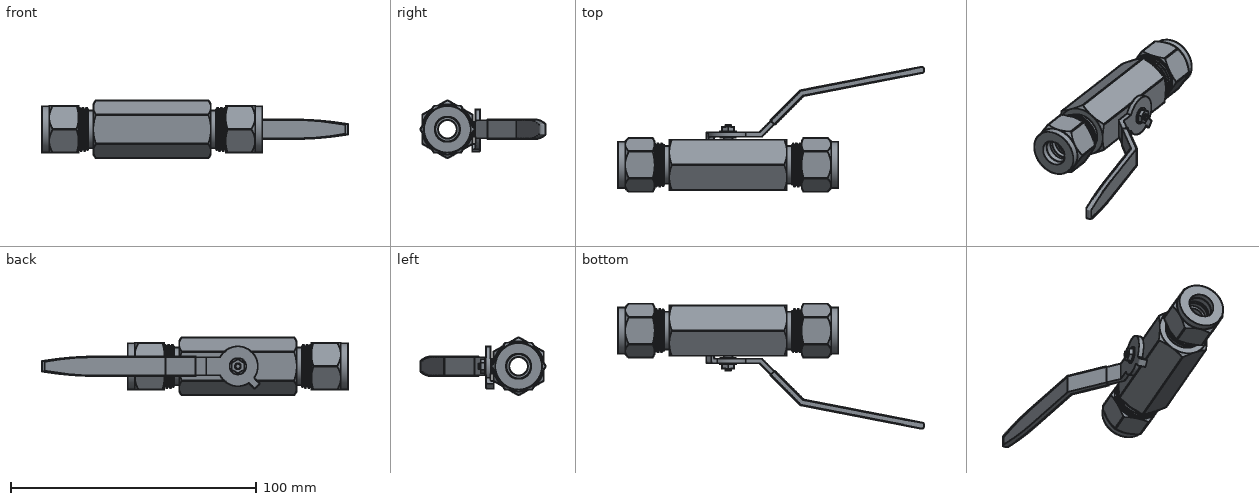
import cadquery as cq
import math

HEX_SIDES = 6
BODY_LENGTH = 48.0
BODY_FLATS = 20.6
BODY_CORNER_DIAMETER = 23.6
BODY_CHAMFER = 1.0
BODY_TURN = 90
NECK_LENGTH = 2.0
NECK_DIAMETER = 15.5
THREAD_CORE_DIAMETER = 16.0
THREAD_DIAMETER = 17.8
THREAD_PITCH = 1.5
THREAD_BASE_WIDTH = 1.4
THREAD_CREST_WIDTH = 0.2
THREAD_OVERLAP = 0.1
THREAD_LEAD_IN = 0.8
BODY_END_TO_NUT_FACE = 5.4
MOUTH_DIAMETER = 10.1
MOUTH_DEPTH = 1.2
SOCKET_DIAMETER = 9.9
SOCKET_DEPTH = 3.4
BORE_DIAMETER = 7.5

OVERALL_LENGTH = 90.0
NUT_FLATS = 19.2
NUT_CORNER_DIAMETER = 22.0
NUT_HEX_LENGTH = 12.0
NUT_TURN = 0
NUT_OUTER_CHAMFER = 1.4
NUT_INNER_CHAMFER = 0.8
COLLAR_DIAMETER = 19.0
COLLAR_LENGTH = 3.0
ENTRY_DIAMETER = 10.4
ENTRY_DEPTH = 2.6

LEVER_BOTTOM = 11.4
LEVER_THICKNESS = 2.0
LEVER_WIDTH = 7.5
DISC_DIAMETER = 16.2
FIRST_BEND_X = 13.2
SECOND_BEND_X = 30.1
TIP_X = 80.0
RISE_ANGLE = math.radians(45)
GRIP_ANGLE = math.radians(11)

TAB_REACH = 11.4
TAB_WIDTH = 3.0
TAB_THICKNESS = 1.5
TAB_BOTTOM = 10.1
TAB_INNER_RADIUS = 0.8
TAB_OUTER_RADIUS = 0.9
TAB_ANGLE = 226

GRIP_WALL = 0.31
GRIP_START_X = 18.1
TAPER_START_X = 57.5
TIP_WIDTH = 4.2
TIP_RADIUS = 1.1
TIP_WALL = 1.2
GRIP_EDGE_RADIUS = 0.2
GRIP_CUT_SIZE = 25.0
OUTLINE_HEIGHT = 62.5

STEM_DIAMETER = 3.8
STEM_SOCKET_DEPTH = 2.5
STUD_DIAMETER = 2.5
STUD_TOP = 16.4
STUD_CHAMFER = 0.2
WASHER_THICKNESS = 0.4
UPPER_WASHER_DIAMETER = 6.8
LOWER_WASHER_DIAMETER = 6.2
STEM_NUT_FLATS = 5.0
STEM_NUT_TOP = 15.5

BODY_END_X = BODY_LENGTH / 2
NUT_FACE_X = OVERALL_LENGTH / 2
NUT_HEX_OUTER_X = NUT_FACE_X - COLLAR_LENGTH
NUT_HEX_INNER_X = NUT_HEX_OUTER_X - NUT_HEX_LENGTH
THREAD_START_X = BODY_END_X + NECK_LENGTH
FITTING_END_X = NUT_FACE_X - BODY_END_TO_NUT_FACE
LEVER_TOP = LEVER_BOTTOM + LEVER_THICKNESS
LEVER_MID = LEVER_BOTTOM + LEVER_THICKNESS / 2
SECOND_BEND_Y = LEVER_MID + (SECOND_BEND_X - FIRST_BEND_X) * math.tan(RISE_ANGLE)
GRIP_THICKNESS = LEVER_THICKNESS + 2 * GRIP_WALL
GRIP_WIDTH = LEVER_WIDTH + 2 * GRIP_WALL
STEM_TOP = LEVER_BOTTOM - WASHER_THICKNESS
STEM_BOTTOM = BODY_FLATS / 2 - STEM_SOCKET_DEPTH


def x_cylinder(diameter, start, end):
    """Cylinder around the bore axis between two X positions."""
    return cq.Workplane("YZ", origin=(start, 0, 0)).circle(diameter / 2).extrude(end - start)


def y_cylinder(diameter, bottom, top):
    """Cylinder around the stem axis between two Y positions."""
    return cq.Workplane("XZ", origin=(0, bottom, 0)).circle(diameter / 2).extrude(bottom - top)


def hex_bar(flats, corner_diameter, start, end, start_chamfer, end_chamfer, turn):
    """Hexagonal bar along X, its corners turned to a cylinder and its ends to cones."""
    bar = (
        cq.Workplane("YZ", origin=(start, 0, 0))
        .polygon(HEX_SIDES, flats / math.cos(math.pi / HEX_SIDES))
        .extrude(end - start)
        .rotate((0, 0, 0), (1, 0, 0), turn)
    )
    corner = corner_diameter / 2
    face = flats / 2
    turned = (
        cq.Workplane("XY")
        .polyline([
            (start, 0),
            (start, face),
            (start + start_chamfer, corner),
            (end - end_chamfer, corner),
            (end, face),
            (end, 0),
        ])
        .close()
        .revolve(360, (0, 0, 0), (1, 0, 0))
    )
    return bar.intersect(turned)


def thread():
    """Helical V ridge along +X from behind the thread start, sunk slightly into the core to fuse with it."""
    base = THREAD_CORE_DIAMETER / 2 - THREAD_OVERLAP
    crest = THREAD_DIAMETER / 2
    half_base = THREAD_BASE_WIDTH / 2
    half_crest = THREAD_CREST_WIDTH / 2
    start = THREAD_START_X - THREAD_PITCH
    helix = cq.Wire.makeHelix(THREAD_PITCH, FITTING_END_X - half_base - start, base)
    ridge = (
        cq.Workplane("XZ")
        .polyline([(base, -half_base), (crest, -half_crest), (crest, half_crest), (base, half_base)])
        .close()
        .sweep(cq.Workplane(obj=helix), isFrenet=True)
    )
    return ridge.rotate((0, 0, 0), (0, 1, 0), 90).translate((start, 0, 0))


def threaded_end():
    """Threaded core on the +X side, its first thread cut back to a cone."""
    core = x_cylinder(THREAD_CORE_DIAMETER, THREAD_START_X, FITTING_END_X)
    blank = (
        cq.Workplane("XY")
        .polyline([
            (THREAD_START_X, 0),
            (THREAD_START_X, THREAD_CORE_DIAMETER / 2),
            (THREAD_START_X + THREAD_LEAD_IN, THREAD_DIAMETER / 2 + THREAD_OVERLAP),
            (FITTING_END_X, THREAD_DIAMETER / 2 + THREAD_OVERLAP),
            (FITTING_END_X, 0),
        ])
        .close()
        .revolve(360, (0, 0, 0), (1, 0, 0))
    )
    return core.union(thread().intersect(blank))


def body():
    """Hexagonal valve body with a threaded fitting on each end."""
    solid = hex_bar(BODY_FLATS, BODY_CORNER_DIAMETER, -BODY_END_X, BODY_END_X, BODY_CHAMFER, BODY_CHAMFER, BODY_TURN)
    solid = solid.union(x_cylinder(NECK_DIAMETER, -THREAD_START_X, THREAD_START_X))
    right_end = threaded_end()
    solid = solid.union(right_end).union(right_end.rotate((0, 0, 0), (0, 0, 1), 180))
    solid = solid.cut(x_cylinder(BORE_DIAMETER, -FITTING_END_X, FITTING_END_X))
    for side in (-1, 1):
        mouth_x = side * FITTING_END_X
        solid = solid.cut(x_cylinder(SOCKET_DIAMETER, side * (FITTING_END_X - SOCKET_DEPTH), mouth_x))
        solid = solid.cut(x_cylinder(MOUTH_DIAMETER, side * (FITTING_END_X - MOUTH_DEPTH), mouth_x))
    return solid.cut(y_cylinder(STEM_DIAMETER, STEM_BOTTOM, BODY_FLATS / 2))


def compression_nut(turn):
    """Nut over a fitting; the turn about Y (0 or 180) selects the end it stands on."""
    solid = hex_bar(
        NUT_FLATS,
        NUT_CORNER_DIAMETER,
        NUT_HEX_INNER_X,
        NUT_HEX_OUTER_X,
        NUT_INNER_CHAMFER,
        NUT_OUTER_CHAMFER,
        NUT_TURN,
    )
    solid = solid.union(x_cylinder(COLLAR_DIAMETER, NUT_HEX_OUTER_X, NUT_FACE_X))
    solid = solid.cut(x_cylinder(THREAD_DIAMETER, NUT_HEX_INNER_X, FITTING_END_X))
    solid = solid.cut(x_cylinder(MOUTH_DIAMETER, FITTING_END_X, NUT_FACE_X))
    solid = solid.cut(x_cylinder(ENTRY_DIAMETER, NUT_FACE_X - ENTRY_DEPTH, NUT_FACE_X))
    return solid.rotate((0, 0, 0), (0, 1, 0), turn)


def bent_strip(thickness, width):
    """Strip of constant thickness that runs from the stem axis along the two bends to the tip."""
    half = thickness / 2
    mean_angle = (RISE_ANGLE + GRIP_ANGLE) / 2
    second_miter = half / math.cos((RISE_ANGLE - GRIP_ANGLE) / 2)
    tip_y = SECOND_BEND_Y + (TIP_X - SECOND_BEND_X) * math.tan(GRIP_ANGLE)

    def edge(side):
        first_shift = (-half * math.tan(RISE_ANGLE / 2), half)
        second_shift = (-second_miter * math.sin(mean_angle), second_miter * math.cos(mean_angle))
        return [
            (0, LEVER_MID + side * half),
            (FIRST_BEND_X + side * first_shift[0], LEVER_MID + side * first_shift[1]),
            (SECOND_BEND_X + side * second_shift[0], SECOND_BEND_Y + side * second_shift[1]),
            (TIP_X, tip_y + side * half / math.cos(GRIP_ANGLE)),
        ]

    outline = edge(1) + edge(-1)[::-1]
    return cq.Workplane("XY").polyline(outline).close().extrude(width / 2, both=True)


def plan_outline(inset, start, tip):
    """Block along Y whose outline, inset from the grip's, tapers in Z to the tip along tangent arcs."""
    half = GRIP_WIDTH / 2 - inset
    tip_half = TIP_WIDTH / 2 - inset
    length = tip - TAPER_START_X
    drop = half - tip_half
    radius = (length**2 + drop**2) / (2 * drop)
    mid_x = TAPER_START_X + length / 2
    mid_z = half - radius + math.sqrt(radius**2 - (length / 2) ** 2)
    return (
        cq.Workplane("XZ")
        .moveTo(start, -half)
        .lineTo(TAPER_START_X, -half)
        .threePointArc((mid_x, -mid_z), (tip, -tip_half))
        .lineTo(tip, tip_half)
        .threePointArc((mid_x, mid_z), (TAPER_START_X, half))
        .lineTo(start, half)
        .close()
        .extrude(-OUTLINE_HEIGHT)
    )


def stop_tab():
    """Arm that leaves the disc and turns down past a corner of the body."""
    inner_face = TAB_REACH - TAB_THICKNESS
    profile = (
        cq.Workplane("XY")
        .moveTo(0, LEVER_TOP)
        .lineTo(TAB_REACH - TAB_OUTER_RADIUS, LEVER_TOP)
        .radiusArc((TAB_REACH, LEVER_TOP - TAB_OUTER_RADIUS), TAB_OUTER_RADIUS)
        .lineTo(TAB_REACH, TAB_BOTTOM)
        .lineTo(inner_face, TAB_BOTTOM)
        .lineTo(inner_face, LEVER_BOTTOM - TAB_INNER_RADIUS)
        .radiusArc((inner_face - TAB_INNER_RADIUS, LEVER_BOTTOM), -TAB_INNER_RADIUS)
        .lineTo(0, LEVER_BOTTOM)
        .close()
    )
    return profile.extrude(TAB_WIDTH / 2, both=True).rotate((0, 0, 0), (0, 1, 0), -TAB_ANGLE)


def lever():
    """Bent lever with a round hub, a stop tab and a hole for the stud."""
    strip = bent_strip(LEVER_THICKNESS, LEVER_WIDTH).intersect(plan_outline(GRIP_WALL, 0, TIP_X - TIP_WALL))
    plate = y_cylinder(DISC_DIAMETER, LEVER_BOTTOM, LEVER_TOP)
    hole = y_cylinder(STUD_DIAMETER, LEVER_BOTTOM, LEVER_TOP)
    return plate.union(strip).union(stop_tab()).cut(hole)


def grip(lever_solid):
    """Sleeve around the outer part of the lever, squared off at its start and rounded at its tip."""
    sleeve = bent_strip(GRIP_THICKNESS, GRIP_WIDTH).intersect(plan_outline(0, FIRST_BEND_X, TIP_X))
    sleeve = sleeve.edges(">X and |Z").fillet(TIP_RADIUS)
    beyond_start = cq.selectors.BoxSelector(
        (FIRST_BEND_X + GRIP_THICKNESS, 0, -GRIP_WIDTH), (TIP_X + GRIP_WIDTH, OUTLINE_HEIGHT, GRIP_WIDTH)
    )
    sleeve = sleeve.edges("not |Z").edges(beyond_start).fillet(GRIP_EDGE_RADIUS)
    start_y = LEVER_MID + (GRIP_START_X - FIRST_BEND_X) * math.tan(RISE_ANGLE)
    below_start = (
        cq.Workplane("XY")
        .box(GRIP_CUT_SIZE, GRIP_CUT_SIZE, GRIP_CUT_SIZE, centered=(False, True, True))
        .rotate((0, 0, 0), (0, 0, 1), 180 + math.degrees(RISE_ANGLE))
        .translate((GRIP_START_X, start_y, 0))
    )
    return sleeve.cut(below_start).cut(lever_solid)


def stem():
    """Stem seated in the body, with a thinner stud through the lever."""
    shank = y_cylinder(STEM_DIAMETER, STEM_BOTTOM, STEM_TOP)
    stud = y_cylinder(STUD_DIAMETER, STEM_TOP, STUD_TOP).faces(">Y").chamfer(STUD_CHAMFER)
    return shank.union(stud)


def washer(diameter, bottom):
    """Flat ring around the stud."""
    ring = y_cylinder(diameter, bottom, bottom + WASHER_THICKNESS)
    return ring.cut(y_cylinder(STUD_DIAMETER, bottom, bottom + WASHER_THICKNESS))


def stem_nut():
    """Hexagonal nut on the stud that clamps the lever."""
    bottom = LEVER_TOP + WASHER_THICKNESS
    hexagon = (
        cq.Workplane("XZ", origin=(0, bottom, 0))
        .polygon(HEX_SIDES, STEM_NUT_FLATS / math.cos(math.pi / HEX_SIDES))
        .extrude(bottom - STEM_NUT_TOP)
        .rotate((0, 0, 0), (0, 1, 0), 90)
    )
    return hexagon.cut(y_cylinder(STUD_DIAMETER, bottom, STEM_NUT_TOP))


lever_body = lever()
bodies = [
    body(),
    *[compression_nut(turn) for turn in (0, 180)],
    lever_body,
    grip(lever_body),
    stem(),
    washer(LOWER_WASHER_DIAMETER, STEM_TOP),
    washer(UPPER_WASHER_DIAMETER, LEVER_TOP),
    stem_nut(),
]
result = cq.Compound.makeCompound([part.val() for part in bodies])